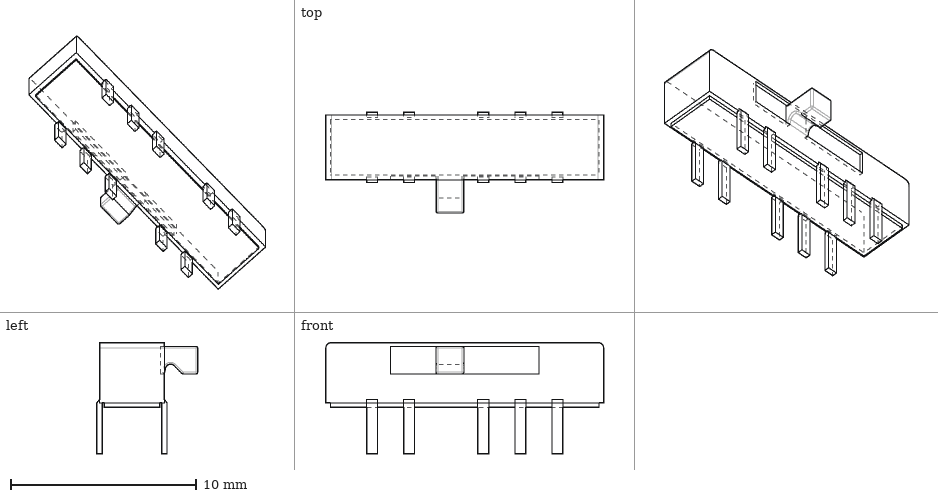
import cadquery as cq
import math

BODY_LENGTH = 15.0
BODY_WIDTH = 3.5
BODY_HEIGHT = 3.25
BODY_END_RADIUS = 0.3

BASE_INSET = 0.25
BASE_THICKNESS = 0.25

PIN_X_POSITIONS = (-5.0, -3.0, 1.0, 3.0, 5.0)
PIN_WIDTH = 0.6
PIN_THICKNESS = 0.3
PIN_PROJECTION = 0.15
PIN_SHOULDER_HEIGHT = 0.18
PIN_LENGTH = 2.75

SLOT_LENGTH = 8.0
SLOT_HEIGHT = 1.5
SLOT_DEPTH = 0.2
SLOT_TOP_MARGIN = 0.2

LEVER_WIDTH = 1.5
LEVER_CENTER_X = -0.8
LEVER_PROJECTION = 1.8
LEVER_EDGE_RADIUS = 0.1
RELIEF_RADIUS = 0.27
RELIEF_HEIGHT = 0.53
RELIEF_BACK_ANGLE = math.radians(78)
RELIEF_FRONT_ANGLE = math.radians(45)

FRONT_Y = -BODY_WIDTH / 2
SLOT_TOP_Z = BODY_HEIGHT - SLOT_TOP_MARGIN
SLOT_BOTTOM_Z = SLOT_TOP_Z - SLOT_HEIGHT


def make_housing():
    """Box with rounded upper ends and a shallow window in the front face."""
    body = cq.Workplane("XY").box(BODY_LENGTH, BODY_WIDTH, BODY_HEIGHT, centered=(True, True, False))
    body = body.edges("|Y and >Z").fillet(BODY_END_RADIUS)
    slot = (
        cq.Workplane("XY")
        .box(SLOT_LENGTH, SLOT_DEPTH, SLOT_HEIGHT, centered=(True, False, False))
        .translate((0, FRONT_Y, SLOT_BOTTOM_Z))
    )
    return body.cut(slot)


def make_base():
    """Thin plate set in from the housing outline."""
    return (
        cq.Workplane("XY")
        .box(
            BODY_LENGTH - 2 * BASE_INSET,
            BODY_WIDTH - 2 * BASE_INSET,
            BASE_THICKNESS,
            centered=(True, True, False),
        )
        .translate((0, 0, -BASE_THICKNESS))
    )


def make_front_pin(center_x):
    """Flat pin whose top slopes up from its outer face to the housing side."""
    outer_y = FRONT_Y - PIN_PROJECTION
    inner_y = outer_y + PIN_THICKNESS
    return (
        cq.Workplane("YZ")
        .moveTo(outer_y, -PIN_LENGTH)
        .lineTo(outer_y, 0)
        .lineTo(FRONT_Y, PIN_SHOULDER_HEIGHT)
        .lineTo(inner_y, PIN_SHOULDER_HEIGHT)
        .lineTo(inner_y, -PIN_LENGTH)
        .close()
        .extrude(PIN_WIDTH / 2, both=True)
        .translate((center_x, 0, 0))
    )


def relief_half_width(wall_angle):
    """Distance along Y from the arc centre of the hollow to the foot of a wall tangent to that arc."""
    center_height = RELIEF_HEIGHT - RELIEF_RADIUS
    return RELIEF_RADIUS / math.sin(wall_angle) + center_height / math.tan(wall_angle)


def make_lever():
    """Lever hollowed underneath: a steep wall, a rounded top and a slope, tangent to each other."""
    root_y = FRONT_Y + SLOT_DEPTH
    tip_y = FRONT_Y - LEVER_PROJECTION
    arc_y = FRONT_Y - relief_half_width(RELIEF_BACK_ANGLE)
    arc_z = SLOT_BOTTOM_Z + RELIEF_HEIGHT - RELIEF_RADIUS
    back_tangent = (
        arc_y + RELIEF_RADIUS * math.sin(RELIEF_BACK_ANGLE),
        arc_z + RELIEF_RADIUS * math.cos(RELIEF_BACK_ANGLE),
    )
    front_tangent = (
        arc_y - RELIEF_RADIUS * math.sin(RELIEF_FRONT_ANGLE),
        arc_z + RELIEF_RADIUS * math.cos(RELIEF_FRONT_ANGLE),
    )
    slope_foot_y = arc_y - relief_half_width(RELIEF_FRONT_ANGLE)
    lever = (
        cq.Workplane("YZ")
        .moveTo(root_y, SLOT_BOTTOM_Z)
        .lineTo(FRONT_Y, SLOT_BOTTOM_Z)
        .lineTo(*back_tangent)
        .threePointArc((arc_y, arc_z + RELIEF_RADIUS), front_tangent)
        .lineTo(slope_foot_y, SLOT_BOTTOM_Z)
        .lineTo(tip_y, SLOT_BOTTOM_Z)
        .lineTo(tip_y, SLOT_TOP_Z)
        .lineTo(root_y, SLOT_TOP_Z)
        .close()
        .extrude(LEVER_WIDTH / 2, both=True)
    )
    rounded_edges = lever.faces("<X or >X or <Y").edges("not(>Y)")
    return rounded_edges.fillet(LEVER_EDGE_RADIUS).translate((LEVER_CENTER_X, 0, 0))


result = make_housing().union(make_base()).union(make_lever())
for pin_x in PIN_X_POSITIONS:
    front_pin = make_front_pin(pin_x)
    result = result.union(front_pin).union(front_pin.mirror("XZ"))